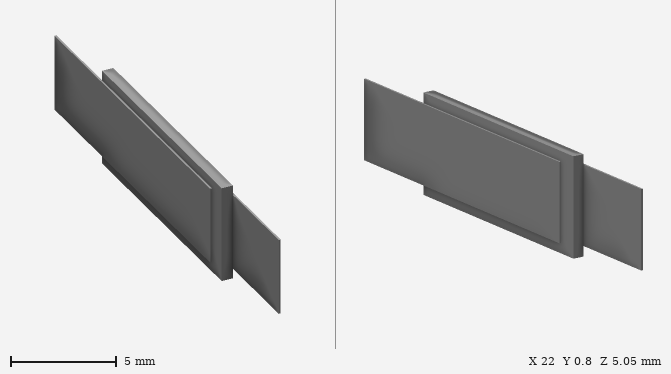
import cadquery as cq

overall_length = 22.0
body_length = 12.45
body_height = 5.05
body_thickness = 0.6
tab_length = 16.21
tab_height = 4.03
tab_thickness = 0.1

tab_offset_x = (overall_length - tab_length) / 2
tab_offset_y = (body_thickness + tab_thickness) / 2


def contact_tab(side):
    """Thin strip on the -Y face (side = -1) or +Y face (side = 1)."""
    strip = cq.Workplane("XY").box(tab_length, tab_thickness, tab_height)
    return strip.translate((side * tab_offset_x, side * tab_offset_y, 0))


result = cq.Workplane("XY").box(body_length, body_thickness, body_height)

for side in (-1, 1):
    result = result.union(contact_tab(side))